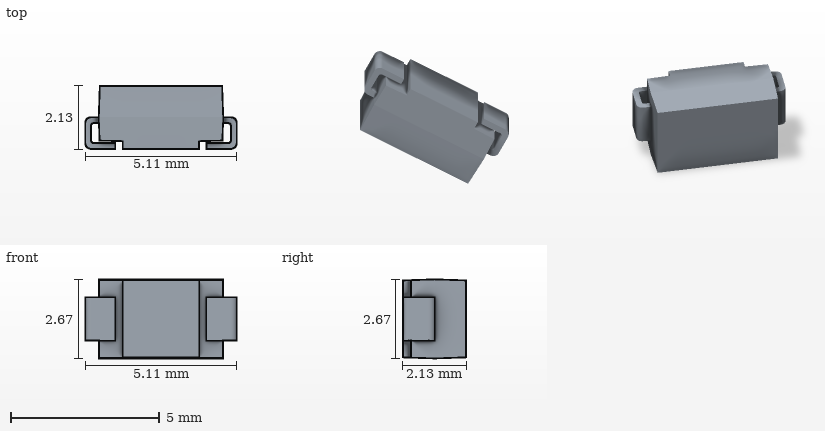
import cadquery as cq

overall_length = 5.11
overall_height = 2.13
body_length = 4.2
body_width = 2.67
parting_height = 1.075
draft_angle = 2.0

pedestal_length = 2.575
recess_height_inner = 0.26
recess_height_outer = 0.28

lead_width = 1.46
lead_thickness = 0.205
outer_bend_radius = 0.205
inner_bend_radius = 0.08
foot_length = 1.02


def make_body():
    """Moulded block, widest at the parting plane and drafted both ways."""
    upper = (
        cq.Workplane("ZX", origin=(0, parting_height, 0))
        .rect(body_width, body_length)
        .extrude(overall_height - parting_height, taper=draft_angle)
    )
    lower = (
        cq.Workplane("XZ", origin=(0, parting_height, 0))
        .rect(body_length, body_width)
        .extrude(parting_height, taper=draft_angle)
    )
    return upper.union(lower)


def make_recess():
    """Clearance above the foot of the -X lead, with a slightly sloped ceiling."""
    inner_x = -pedestal_length / 2
    outer_x = -body_length / 2
    return (
        cq.Workplane("XY")
        .moveTo(inner_x, 0)
        .lineTo(inner_x, recess_height_inner)
        .lineTo(outer_x, recess_height_outer)
        .lineTo(outer_x, 0)
        .close()
        .extrude(body_width / 2, both=True)
    )


def make_lead():
    """Bent strip at -X: arm into the body, upright, and foot folded under."""
    outer_x = -overall_length / 2
    foot_window_height = parting_height - 2 * lead_thickness
    strip = (
        cq.Workplane("XY")
        .rect(foot_length, parting_height)
        .extrude(lead_width / 2, both=True)
        .edges("|Z and <X")
        .fillet(outer_bend_radius)
    )
    window = (
        cq.Workplane("XY")
        .center(lead_thickness, 0)
        .rect(foot_length, foot_window_height)
        .extrude(lead_width / 2, both=True)
        .edges("|Z and <X")
        .fillet(inner_bend_radius)
    )
    return strip.cut(window).translate((outer_x + foot_length / 2, parting_height / 2, 0))


recess = make_recess()
lead = make_lead()

result = make_body().cut(recess).cut(recess.mirror("YZ"))
result = result.union(lead).union(lead.mirror("YZ"))